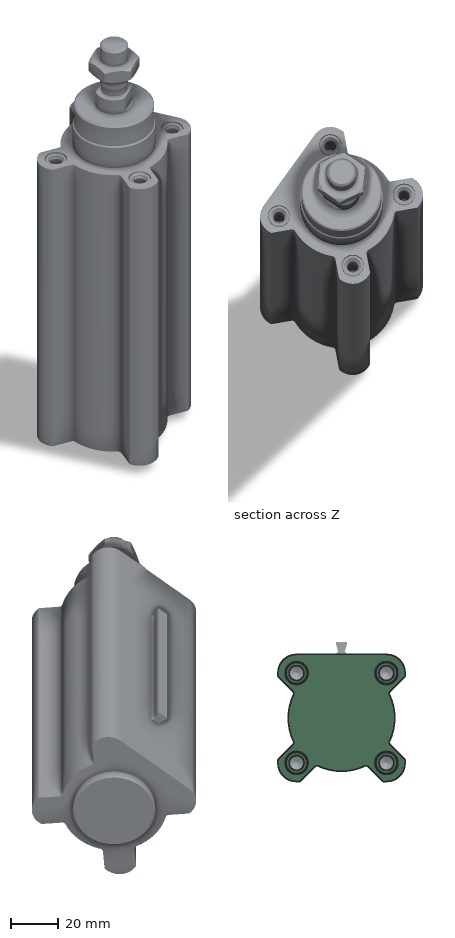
import cadquery as cq
import math

TOTAL_HEIGHT = 202.0
BARREL_BOTTOM_Z = 4.0
BARREL_TOP_Z = 149.5
COLLAR_TOP_Z = 160.5
CAP_TOP_Z = 170.6
FLATS_BOTTOM_Z = 171.2
ROD_SHOULDER_Z = 177.9
THREAD_CONE_BOTTOM_Z = 179.7
THREAD_BOTTOM_Z = 182.1
NUT_BOTTOM_Z = 188.2
NUT_HEIGHT = 6.0

BARREL_WIDTH = 54.0
BARREL_CORE_DIAMETER = 45.2
BOLT_PITCH = 38.0
ARM_WIDTH = 13.3
ARM_CORNER_RADIUS = 1.2
ARM_ROOT_RADIUS = 1.5

BOLT_POCKET_DIAMETER = 9.5
BOLT_POCKET_DEPTH = 1.2
BOLT_HEAD_DIAMETER = 9.0
BOLT_HEAD_CHAMFER = 0.5
BOLT_HEAD_RECESS = 0.2
COUNTERSINK_DIAMETER = 7.3
BOLT_THREAD_DIAMETER = 6.0
BOLT_CORE_DIAMETER = 4.8
BOLT_THREAD_DEPTH = 1.2
BOLT_HOLE_DEPTH = 16.2
DRILL_POINT_ANGLE = 118.0

RAIL_BOTTOM_Z = 36.3
RAIL_LENGTH = 79.5
RAIL_HEIGHT = 5.0
RAIL_HEAD_WIDTH = 4.8
RAIL_WAIST_WIDTH = 2.8
RAIL_HEAD_THICKNESS = 0.6
RAIL_FOOT_THICKNESS = 1.2

GUIDE_DIAMETER = 35.0
GUIDE_CHAMFER = 0.6
CAP_DIAMETER = 34.0
CAP_WAIST_DIAMETER = 33.5
CAP_CHAMFER = 0.6

ROD_DIAMETER = 16.0
ROD_ACROSS_FLATS = 13.0
THREAD_DIAMETER = 12.0
NECK_DIAMETER = 10.7
NECK_ROOT_RADIUS = 0.5
THREAD_TIP_CHAMFER = 0.8

NUT_ACROSS_FLATS = 19.0
NUT_FACE_DIAMETER = 19.0
NUT_CHAMFER_ANGLE = 30.0


def cylinder(diameter, bottom, top):
    return cq.Workplane("XY").workplane(offset=bottom).circle(diameter / 2).extrude(top - bottom)


def bolt_positions(workplane):
    return workplane.rect(BOLT_PITCH, BOLT_PITCH, forConstruction=True).vertices()


def barrel_blank():
    """Round core, square corner lobes on diagonal arms, and a flat +Y side."""
    height = BARREL_TOP_Z - BARREL_BOTTOM_Z
    half = BARREL_WIDTH / 2
    base = cq.Workplane("XY").workplane(offset=BARREL_BOTTOM_Z)
    lobe_radius = half - BOLT_PITCH / 2
    rounded_square = base.rect(BARREL_WIDTH, BARREL_WIDTH).extrude(height).edges("|Z").fillet(lobe_radius)

    arm_length = 2 * BARREL_WIDTH
    arms = base.transformed(rotate=(0, 0, 45)).rect(arm_length, ARM_WIDTH).extrude(height)
    arms = arms.union(base.transformed(rotate=(0, 0, -45)).rect(arm_length, ARM_WIDTH).extrude(height))
    back_wedge = base.polyline([(0, 0), (half, half), (-half, half)]).close().extrude(height)
    core = base.circle(BARREL_CORE_DIAMETER / 2).extrude(height)
    blank = core.union(arms).union(back_wedge).intersect(rounded_square)

    side_offset = ARM_WIDTH / math.sqrt(2)
    core_radius = BARREL_CORE_DIAMETER / 2
    root_far = (side_offset + math.sqrt(2 * core_radius**2 - side_offset**2)) / 2
    root_near = root_far - side_offset
    roots = []
    corners = []
    for sign in (-1, 1):
        for end in (-1, 1):
            roots.append((sign * root_far, end * root_near))
            corners.append((sign * half, end * (half - side_offset)))
        roots.append((sign * root_near, -root_far))
        corners.append((sign * (half - side_offset), -half))
    blank = fillet_vertical_edges(blank, roots, ARM_ROOT_RADIUS)
    return fillet_vertical_edges(blank, corners, ARM_CORNER_RADIUS)


def fillet_vertical_edges(body, points, radius):
    middle = (BARREL_BOTTOM_Z + BARREL_TOP_Z) / 2
    edges = cq.Workplane("XY")
    for x, y in points:
        nearest = body.edges("|Z").edges(cq.selectors.NearestToPointSelector((x, y, middle)))
        edges = edges.add(nearest)
    return body.newObject([body.val().fillet(radius, edges.vals())])


def sensor_rail():
    """Rail along the +Y side: flat head, sides tapering inwards to a waist, and a flared foot."""
    foot = BARREL_WIDTH / 2
    waist = foot + RAIL_FOOT_THICKNESS
    top = foot + RAIL_HEIGHT
    head_bottom = top - RAIL_HEAD_THICKNESS
    head_half = RAIL_HEAD_WIDTH / 2
    waist_half = RAIL_WAIST_WIDTH / 2
    right_side = [
        (head_half, foot),
        (waist_half, waist),
        (head_half, head_bottom),
        (head_half, top),
    ]
    left_side = [(-x, y) for x, y in reversed(right_side)]
    plane = cq.Workplane("XY").workplane(offset=RAIL_BOTTOM_Z)
    return plane.polyline(right_side + left_side).close().extrude(RAIL_LENGTH)


def bolt_recess():
    """Revolved cutter that leaves a chamfered bolt head with a countersunk, drilled thread hole."""
    pocket = BOLT_POCKET_DIAMETER / 2
    head = BOLT_HEAD_DIAMETER / 2
    countersink = COUNTERSINK_DIAMETER / 2
    thread = BOLT_THREAD_DIAMETER / 2
    core = BOLT_CORE_DIAMETER / 2
    point_depth = core / math.tan(math.radians(DRILL_POINT_ANGLE / 2))
    profile = [
        (0, 0),
        (pocket, 0),
        (pocket, -BOLT_POCKET_DEPTH),
        (head, -BOLT_POCKET_DEPTH),
        (head, -BOLT_HEAD_RECESS - BOLT_HEAD_CHAMFER),
        (head - BOLT_HEAD_CHAMFER, -BOLT_HEAD_RECESS),
        (countersink, -BOLT_HEAD_RECESS),
        (thread, -BOLT_HEAD_RECESS - (countersink - thread)),
        (thread, -BOLT_THREAD_DEPTH),
        (core, -BOLT_THREAD_DEPTH - (thread - core)),
        (core, -BOLT_HOLE_DEPTH),
        (0, -BOLT_HOLE_DEPTH - point_depth),
    ]
    cutter = cq.Workplane("XZ").polyline(profile).close().revolve(360, (0, 0), (0, 1))
    return cutter.val()


def make_housing():
    bottom_guide = cylinder(GUIDE_DIAMETER, 0, BARREL_BOTTOM_Z).faces("<Z").chamfer(GUIDE_CHAMFER)
    collar = cylinder(GUIDE_DIAMETER, BARREL_TOP_Z, COLLAR_TOP_Z).faces(">Z").chamfer(GUIDE_CHAMFER)

    cap_radius = CAP_DIAMETER / 2
    waist = (CAP_WAIST_DIAMETER / 2, (COLLAR_TOP_Z + CAP_TOP_Z - CAP_CHAMFER) / 2)
    cap = (
        cq.Workplane("XZ")
        .moveTo(0, COLLAR_TOP_Z)
        .lineTo(cap_radius, COLLAR_TOP_Z)
        .threePointArc(waist, (cap_radius, CAP_TOP_Z - CAP_CHAMFER))
        .lineTo(cap_radius - CAP_CHAMFER, CAP_TOP_Z)
        .lineTo(0, CAP_TOP_Z)
        .close()
        .revolve(360, (0, 0), (0, 1))
    )
    recesses = bolt_positions(cq.Workplane("XY").workplane(offset=BARREL_TOP_Z))
    recesses = recesses.eachpoint(lambda place: bolt_recess().moved(place))
    body = barrel_blank().union(sensor_rail()).cut(recesses)
    rod_bore = cylinder(ROD_DIAMETER, BARREL_TOP_Z, CAP_TOP_Z)
    return body.union(bottom_guide).union(collar).union(cap).cut(rod_bore)


def make_piston_rod():
    """Round rod with two wrench flats, a relief neck and a threaded end."""
    shank = cylinder(ROD_DIAMETER, BARREL_TOP_Z, ROD_SHOULDER_Z)
    flats = (
        cq.Workplane("XY")
        .workplane(offset=FLATS_BOTTOM_Z)
        .rect(ROD_ACROSS_FLATS, 2 * ROD_DIAMETER)
        .extrude(ROD_SHOULDER_Z - FLATS_BOTTOM_Z)
    )
    shank = shank.intersect(flats.union(cylinder(ROD_DIAMETER, BARREL_TOP_Z, FLATS_BOTTOM_Z)))
    neck = NECK_DIAMETER / 2
    thread = THREAD_DIAMETER / 2
    root_bulge = NECK_ROOT_RADIUS * (1 - math.sqrt(0.5))
    root_middle = (neck + root_bulge, ROD_SHOULDER_Z + root_bulge)
    threaded_end = (
        cq.Workplane("XZ")
        .moveTo(0, ROD_SHOULDER_Z)
        .lineTo(neck + NECK_ROOT_RADIUS, ROD_SHOULDER_Z)
        .threePointArc(root_middle, (neck, ROD_SHOULDER_Z + NECK_ROOT_RADIUS))
        .lineTo(neck, THREAD_CONE_BOTTOM_Z)
        .lineTo(thread, THREAD_BOTTOM_Z)
        .lineTo(thread, TOTAL_HEIGHT - THREAD_TIP_CHAMFER)
        .lineTo(thread - THREAD_TIP_CHAMFER, TOTAL_HEIGHT)
        .lineTo(0, TOTAL_HEIGHT)
        .close()
        .revolve(360, (0, 0), (0, 1))
    )
    return shank.union(threaded_end)


def make_lock_nut():
    """Hexagon nut with points along Y and conical chamfers on both faces."""
    top = NUT_BOTTOM_Z + NUT_HEIGHT
    corner_diameter = NUT_ACROSS_FLATS / math.cos(math.pi / 6)
    hexagon = (
        cq.Workplane("XY")
        .workplane(offset=NUT_BOTTOM_Z)
        .transformed(rotate=(0, 0, 90))
        .polygon(6, corner_diameter)
        .extrude(NUT_HEIGHT)
    )
    inset = (corner_diameter - NUT_FACE_DIAMETER) / 2
    drop = inset * math.tan(math.radians(NUT_CHAMFER_ANGLE))
    envelope = cylinder(corner_diameter, NUT_BOTTOM_Z, top).faces("<Z or >Z").chamfer(drop, inset)
    return hexagon.intersect(envelope).cut(cylinder(THREAD_DIAMETER, NUT_BOTTOM_Z, top))


housing = make_housing()
piston_rod = make_piston_rod()
lock_nut = make_lock_nut()

result = cq.Compound.makeCompound([housing.val(), piston_rod.val(), lock_nut.val()])